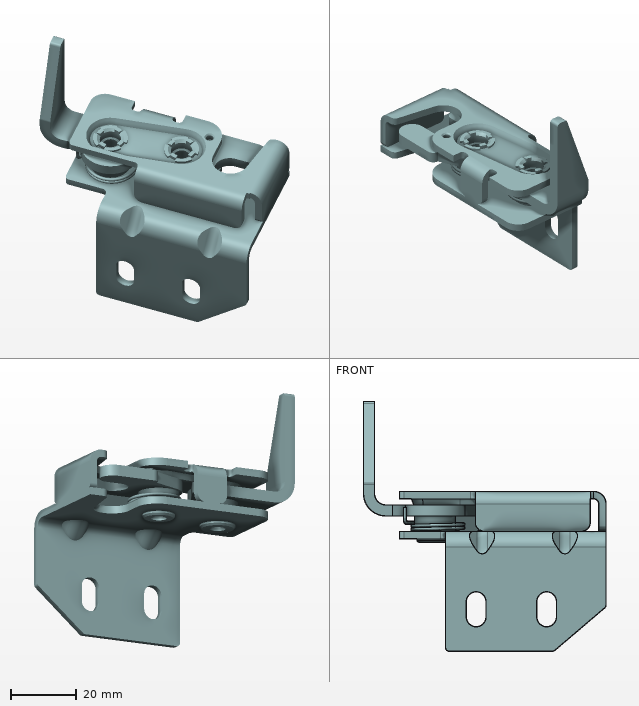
import cadquery as cq
import math


total_width = 74.65
total_depth = 37.2
total_height = 76.9

sheet = 2.3
base_top = 36.9
sheet_gap = 10.0
cover_top = base_top + sheet_gap + sheet
cover_bottom = cover_top - sheet

plate_left = 11.1
plate_back_radius = 4.85
plate_front_radius = 1.4
base_front = 9.85
cover_front = 12.9

flange_left = 25.2
flange_bend = 4.8
relief_radius = 1.5
flange_corner_radius = 1.15
flange_cut_width = 16.1
flange_cut_height = 13.7
slot_width = 6.0
slot_height = 10.7
slot_z = 12.9
slot_x = (34.7, 56.35)

gusset_x = (36.5, 62.0)
gusset_reach = 6.9
gusset_radius = 2.3
gusset_sheet = 2.1

cover_bend = 3.85
fold_bottom = base_top
fold_corner_radius = 2.7
side_corner_radius = 1.4
cover_flange_face = 8.6
cover_flange_left = 34.45
cover_flange_right = 69.8
side_fold_front = 13.3
tab_left = 27.2
tab_right = 37.4
tab_relief_width = 3.3
tab_relief_radius = 1.15

throat_x = 60.3
throat_y = 24.15
throat_radius = 5.7
throat_lean = 10.3
throat_left_corner = 6.6
throat_right_corner = 1.9

lever_pivot = (22.0, 21.0)
rotor_pivot = (44.1, 24.3)
pivots = (lever_pivot, rotor_pivot)

lever_thickness = 3.45
lever_top = cover_bottom - 1.85
lever_bottom = lever_top - lever_thickness
lever_width = 12.6
lever_bend = 6.9
lever_hub_radius = 9.2
lever_back = lever_pivot[1] + lever_hub_radius
lever_front = lever_back - lever_width
lever_relief_start = 9.0
lever_relief_depth = 1.2
lever_tip_width = 3.7
lever_taper_start = 51.6
lever_taper_radius = 1.5
lever_tip_radius = 1.0
lever_nose_front = 21.0
lever_nose_tip = (35.0, 29.2)
lever_nose_back_x = 32.3

dimple_radius = 7.45
dimple_front = 14.6
dimple_taper = 32.0
dimple_under_taper = 20.0
dimple_depth = cover_bottom - lever_top
dimple_floor = cover_top - dimple_depth
dimple_under_inset = 0.2

rotor_radius = 7.3
rotor_front = 15.1
rotor_slot_radius = 4.85
rotor_slot_x = 60.05
rotor_slot_y = 24.1
rotor_jaw_left = 50.4
rotor_jaw_corner = 2.15
rotor_lower_jaw_end = 64.6
upper_jaw_radius = (total_depth - rotor_slot_y - rotor_slot_radius) / 2
upper_jaw_x = 64.6

peg_x, peg_y = 50.8, 31.1
peg_hole = 2.3
peg_rim = 3.15

rivet_bore = 4.85
rivet_counterbore = 6.6
rivet_counterbore_depth = 2.45
rivet_shank = 9.15
rivet_shoulder = 12.7
rivet_feet = (11.15, 10.15)
rivet_foot_height = 1.15
rivet_foot_chamfer = 0.6
rivet_rim_height = 1.15
petal_diameter = 10.8
petal_inner = 8.45
petal_height = 0.7
petal_count = 4
petal_span = 60.0
petal_start = -2.0

wire = 1.0
spring_radius = 7.85
spring_turns = 2
spring_pitch = 1.1
spring_sink = 0.04
spring_shift_x = 0.9
spring_shift_y = -0.9
spring_leg_x = 12.8
spring_leg_y = 16.8
spring_leg_bend = 1.2
spring_leg_top = 44.3

through = 153.8


def round_edge(body, point, radius):
    """Fillet the edge whose middle is nearest to the point."""
    return body.edges(cq.selectors.NearestToPointSelector(point)).fillet(radius)


def block(x0, x1, y0, y1, z0, z1):
    """Box between two corners."""
    return cq.Workplane("XY").box(x1 - x0, y1 - y0, z1 - z0, centered=False).translate((x0, y0, z0))


def disc(center, diameter, z0, z1):
    """Upright cylinder."""
    return cq.Workplane("XY", origin=(*center, z0)).circle(diameter / 2).extrude(z1 - z0)


def folded_edge(origin, outward, length, bend, drop):
    """Sheet that leaves a bend line outward, then turns straight down."""
    across = cq.Vector(*outward)
    plane = cq.Plane(origin=origin, xDir=across, normal=across.cross(cq.Vector(0, 0, 1)))
    diagonal = math.sqrt(0.5)
    inner = bend - sheet
    return (
        cq.Workplane(plane)
        .lineTo(0, -sheet)
        .threePointArc((inner * diagonal, inner * diagonal - bend), (inner, -bend))
        .lineTo(inner, -drop)
        .lineTo(bend, -drop)
        .lineTo(bend, -bend)
        .threePointArc((bend * diagonal, bend * diagonal - bend), (0, 0))
        .close()
        .extrude(length)
    )


def cut_throat(plate, z_mid):
    """Open the striker throat from the back edge and round its two mouth corners."""
    lean = math.radians(throat_lean)
    left = throat_x - throat_radius
    tangent_x = throat_x + throat_radius * math.cos(lean)
    tangent_y = throat_y - throat_radius * math.sin(lean)
    mouth_x = tangent_x + (total_depth - tangent_y) * math.tan(lean)
    opening = (
        cq.Workplane("XY")
        .moveTo(left, total_depth)
        .lineTo(left, throat_y)
        .threePointArc((throat_x, throat_y - throat_radius), (tangent_x, tangent_y))
        .lineTo(mouth_x, total_depth)
        .close()
        .extrude(through)
    )
    plate = plate.cut(opening)
    plate = round_edge(plate, (left, total_depth, z_mid), throat_left_corner)
    return round_edge(plate, (mouth_x, total_depth, z_mid), throat_right_corner)


def gusset_section(x, offset):
    """V trough with a round floor, pushed inward from the groove floor by the offset."""
    radius = gusset_radius + offset
    plane = cq.Plane(origin=(x, 0, base_top - gusset_reach), xDir=(1, 0, 0), normal=(0, 1, 1))
    half = radius * math.sqrt(0.5)
    wall_top = half - radius + offset
    rise = 2 * gusset_reach
    return (
        cq.Workplane(plane)
        .moveTo(-half, wall_top)
        .threePointArc((0, offset), (half, wall_top))
        .lineTo(half + rise, wall_top - rise)
        .lineTo(-half - rise, wall_top - rise)
        .close()
        .extrude(2 * gusset_reach, both=True)
    )


def make_base():
    z_mid = base_top - sheet / 2
    base = block(plate_left, total_width, base_front, total_depth, base_top - sheet, base_top)
    base = cut_throat(base, z_mid)
    base = round_edge(base, (plate_left, total_depth, z_mid), plate_back_radius)
    base = round_edge(base, (plate_left, base_front, z_mid), plate_front_radius)
    base = base.union(
        block(flange_left, total_width, flange_bend, base_front, base_top - sheet, base_top)
    )
    base = round_edge(base, (flange_left, base_front, z_mid), relief_radius)

    flange = folded_edge(
        (total_width, flange_bend, base_top), (0, -1, 0), total_width - flange_left, flange_bend, base_top
    )
    cut_start = total_width - flange_cut_width
    corner_cut = (
        cq.Workplane("XZ")
        .polyline([(cut_start, 0), (total_width, 0), (total_width, flange_cut_height)])
        .close()
        .extrude(-sheet)
    )
    flange = flange.cut(corner_cut)
    for x, z in ((flange_left, 0), (cut_start, 0), (total_width, flange_cut_height)):
        flange = round_edge(flange, (x, sheet / 2, z), flange_corner_radius)
    slots = (
        cq.Workplane("XZ")
        .pushPoints([(x, slot_z) for x in slot_x])
        .slot2D(slot_height, slot_width, 90)
        .extrude(-sheet)
    )
    base = base.union(flange.cut(slots))

    inside_bend = block(0, total_width, sheet, total_depth, 0, base_top - sheet)
    for x in gusset_x:
        base = base.union(gusset_section(x, gusset_sheet).intersect(inside_bend))
        base = base.cut(gusset_section(x, 0))
    return base


def dimple_solid(radius, z_top, taper):
    """Tapered plug around both pivots, clipped by a flat at the front."""
    inset = dimple_radius - radius
    flat_y = dimple_front + inset
    ax, ay = lever_pivot
    bx, by = rotor_pivot
    slope = math.atan2(by - ay, bx - ax)
    nx, ny = -radius * math.sin(slope), radius * math.cos(slope)
    lower_x = bx - nx - (by - ny - flat_y) / math.tan(slope)
    flat_x = ax - math.sqrt(radius**2 - (ay - flat_y) ** 2)
    return (
        cq.Workplane("XY", origin=(0, 0, z_top))
        .moveTo(ax + nx, ay + ny)
        .lineTo(bx + nx, by + ny)
        .threePointArc((bx + radius * math.cos(slope), by + radius * math.sin(slope)), (bx - nx, by - ny))
        .lineTo(lower_x, flat_y)
        .lineTo(flat_x, flat_y)
        .threePointArc((ax - radius * math.cos(slope), ay - radius * math.sin(slope)), (ax + nx, ay + ny))
        .close()
        .extrude(-dimple_depth, taper=taper)
    )


def make_cover():
    z_mid = cover_top - sheet / 2
    drop = cover_top - fold_bottom
    side_bend_x = total_width - cover_bend
    front_bend_y = cover_flange_face + cover_bend
    tab_bend_y = total_depth - cover_bend
    corner_z = fold_bottom

    cover = block(plate_left, side_bend_x, cover_front, total_depth, cover_bottom, cover_top)
    cover = cut_throat(cover, z_mid)
    cover = round_edge(cover, (plate_left, total_depth, z_mid), plate_back_radius)
    cover = round_edge(cover, (plate_left, cover_front, z_mid), plate_front_radius)
    cover = cover.union(
        block(cover_flange_left, cover_flange_right, front_bend_y, cover_front, cover_bottom, cover_top)
    )

    cover = cover.cut(block(tab_left, tab_right, tab_bend_y, total_depth, cover_bottom, cover_top))
    for x in (tab_left - tab_relief_width, tab_right):
        relief = block(x, x + tab_relief_width, tab_bend_y, total_depth, cover_bottom, cover_top)
        cover = cover.cut(relief.edges("|Z and <Y").fillet(tab_relief_radius))

    tab = folded_edge(
        (tab_left, tab_bend_y, cover_top), (0, 1, 0), tab_right - tab_left, cover_bend, drop
    )
    for x in (tab_left, tab_right):
        tab = round_edge(tab, (x, total_depth - sheet / 2, corner_z), fold_corner_radius)

    front = folded_edge(
        (cover_flange_right, front_bend_y, cover_top),
        (0, -1, 0),
        cover_flange_right - cover_flange_left,
        cover_bend,
        drop,
    )
    for x in (cover_flange_left, cover_flange_right):
        front = round_edge(front, (x, cover_flange_face + sheet / 2, corner_z), fold_corner_radius)

    web_left = cover_flange_left - relief_radius
    web_front = cover_front - relief_radius
    web = folded_edge(
        (cover_flange_left, front_bend_y, cover_top), (0, -1, 0), relief_radius, cover_bend, drop
    )
    web = web.union(block(web_left, cover_flange_left, front_bend_y, cover_front, cover_bottom, cover_top))
    web = web.intersect(block(web_left, cover_flange_left, web_front, cover_front, 0, cover_top))
    web = web.cut(disc((web_left, web_front), 2 * relief_radius, 0, cover_top))

    side = folded_edge(
        (side_bend_x, total_depth, cover_top), (1, 0, 0), total_depth - side_fold_front, cover_bend, drop
    )
    for y in (side_fold_front, total_depth):
        side = round_edge(side, (total_width - sheet / 2, y, corner_z), side_corner_radius)

    cover = cover.union(tab).union(front).union(web).union(side)
    cover = cover.union(dimple_solid(dimple_radius - dimple_under_inset, cover_bottom, dimple_under_taper))
    cover = cover.cut(dimple_solid(dimple_radius, cover_top, dimple_taper))

    peg = disc((peg_x, peg_y), peg_hole, cover_bottom, cover_top)
    cover = cover.cut(peg)
    return cover.edges(cq.selectors.NearestToPointSelector((peg_x, peg_y, cover_top))).chamfer(
        (peg_rim - peg_hole) / 2
    )


def make_lever():
    px, py = lever_pivot
    inner = lever_bend - lever_thickness
    bend_z = lever_bottom + lever_bend
    diagonal = math.sqrt(0.5)
    strip = (
        cq.Workplane("XZ", origin=(0, lever_back, 0))
        .moveTo(px, lever_bottom)
        .lineTo(lever_bend, lever_bottom)
        .threePointArc((lever_bend * (1 - diagonal), bend_z - lever_bend * diagonal), (0, bend_z))
        .lineTo(0, total_height)
        .lineTo(lever_thickness, total_height)
        .lineTo(lever_thickness, bend_z)
        .threePointArc((lever_bend - inner * diagonal, bend_z - inner * diagonal), (lever_bend, lever_top))
        .lineTo(px, lever_top)
        .close()
        .extrude(lever_width)
    )
    tip_front = lever_back - lever_tip_width
    taper_cut = (
        cq.Workplane("YZ")
        .polyline([(lever_front, lever_taper_start), (lever_front, total_height), (tip_front, total_height)])
        .close()
        .extrude(lever_thickness)
    )
    relief_cut = (
        cq.Workplane("XY", origin=(0, 0, lever_bottom))
        .polyline([(lever_relief_start, lever_front), (px, lever_front), (px, py),
                   (px - lever_hub_radius, lever_front + lever_relief_depth)])
        .close()
        .extrude(lever_thickness)
    )
    strip = strip.cut(taper_cut).cut(relief_cut)
    for y in (lever_back, tip_front):
        strip = round_edge(strip, (lever_thickness / 2, y, total_height), lever_tip_radius)
    strip = round_edge(strip, (lever_thickness / 2, lever_front, lever_taper_start), lever_taper_radius)

    nose = (
        cq.Workplane("XY", origin=(0, 0, lever_bottom))
        .polyline([lever_pivot, (px + lever_hub_radius, lever_nose_front), lever_nose_tip,
                   (lever_nose_back_x, lever_back), (px, lever_back)])
        .close()
        .extrude(lever_thickness)
    )
    return strip.union(nose).union(disc(lever_pivot, 2 * lever_hub_radius, lever_bottom, lever_top))


def make_rotor():
    px, py = rotor_pivot
    slot_top = rotor_slot_y + rotor_slot_radius
    lower_jaw_width = rotor_slot_y - rotor_slot_radius - rotor_front
    jaw_z = (lever_bottom + lever_top) / 2

    jaw = block(rotor_jaw_left, upper_jaw_x, slot_top, total_depth, lever_bottom, lever_top)
    jaw = round_edge(jaw, (rotor_jaw_left, total_depth, jaw_z), rotor_jaw_corner)
    jaw = jaw.union(
        disc((upper_jaw_x, total_depth - upper_jaw_radius), 2 * upper_jaw_radius, lever_bottom, lever_top)
    )

    shoulder_y = total_depth - rotor_jaw_corner
    reach = math.hypot(rotor_jaw_left - px, shoulder_y - py)
    tangent = math.atan2(shoulder_y - py, rotor_jaw_left - px) + math.acos(rotor_radius / reach)
    palm = (
        cq.Workplane("XY", origin=(0, 0, lever_bottom))
        .polyline([
            (px + rotor_radius * math.cos(tangent), py + rotor_radius * math.sin(tangent)),
            (rotor_jaw_left, shoulder_y),
            (rotor_slot_x, shoulder_y),
            (rotor_slot_x, rotor_front),
            (px, rotor_front),
        ])
        .close()
        .extrude(lever_thickness)
    )
    lower_end = rotor_lower_jaw_end - lower_jaw_width / 2
    lower_jaw = block(px, lower_end, rotor_front, rotor_front + lower_jaw_width, lever_bottom, lever_top)
    lower_jaw = lower_jaw.union(
        disc((lower_end, rotor_front + lower_jaw_width / 2), lower_jaw_width, lever_bottom, lever_top)
    )
    slot = disc((rotor_slot_x, rotor_slot_y), 2 * rotor_slot_radius, lever_bottom, lever_top)
    body = disc(rotor_pivot, 2 * rotor_radius, lever_bottom, lever_top)
    return body.union(palm).cut(slot).union(jaw).union(lower_jaw)


def make_rivet(center, foot_diameter):
    """Stepped rivet with a flat foot and a rim staked outward into petals."""
    foot_bottom = base_top - sheet - rivet_foot_height
    petal_top = dimple_floor + petal_height
    rim_top = dimple_floor + rivet_rim_height
    scoop_taper = math.degrees(math.atan2((petal_inner - rivet_counterbore) / 2, petal_height))

    foot = disc(center, foot_diameter, foot_bottom, base_top).faces("<Z").chamfer(rivet_foot_chamfer)
    shoulder = disc(center, rivet_shoulder, base_top, lever_bottom)
    shank = disc(center, rivet_shank, lever_bottom, rim_top)
    rivet = foot.union(shoulder).union(shank)

    for index in range(petal_count):
        start = petal_start + index * 360 / petal_count
        sector = (
            cq.Workplane("XZ")
            .rect(petal_diameter / 2, through, centered=False)
            .revolve(petal_span, (0, 0, 0), (0, 1, 0))
            .rotate((0, 0, 0), (0, 0, 1), start)
            .translate((*center, 0))
        )
        above = disc(center, petal_diameter, petal_top, rim_top)
        scoop = (
            cq.Workplane("XY", origin=(*center, petal_top))
            .circle(petal_inner / 2)
            .extrude(-petal_height, taper=scoop_taper)
        )
        petal = disc(center, petal_diameter, dimple_floor, petal_top)
        rivet = rivet.union(petal.intersect(sector)).cut(above.union(scoop).intersect(sector))
    return rivet


def rivet_holes(center):
    """Through bore and upper counterbore of a rivet."""
    counterbore = disc(center, rivet_counterbore, dimple_floor - rivet_counterbore_depth, cover_top)
    return disc(center, rivet_bore, 0, cover_top).union(counterbore)


spring_start_z = base_top + wire / 2 - spring_sink
spring_end_z = spring_start_z + spring_turns * spring_pitch
coil_x = lever_pivot[0] + spring_shift_x
coil_y = lever_pivot[1] + spring_shift_y
leg_distance = math.hypot(spring_leg_x - coil_x, spring_leg_y - coil_y)
spring_end_angle = math.atan2(spring_leg_y - coil_y, spring_leg_x - coil_x) - math.acos(
    spring_radius / leg_distance
)


def make_spring(pivot):
    """Coil standing on the base, pushed against one side of the rivet shoulder."""
    helix = cq.Wire.makeHelix(spring_pitch, spring_turns * spring_pitch, spring_radius)
    coil = (
        cq.Workplane("XZ", origin=(spring_radius, 0, 0))
        .circle(wire / 2)
        .sweep(cq.Workplane(obj=helix), isFrenet=True)
    )
    start_angle = math.degrees(spring_end_angle) - 360 * spring_turns
    return coil.rotate((0, 0, 0), (0, 0, 1), start_angle).translate(
        (pivot[0] + spring_shift_x, pivot[1] + spring_shift_y, spring_start_z)
    )


def make_spring_leg():
    """Wire that leaves the coil on a tangent and turns up against the front edge of the lever."""
    z = spring_end_z
    start_x = coil_x + spring_radius * math.cos(spring_end_angle)
    start_y = coil_y + spring_radius * math.sin(spring_end_angle)
    reach = math.hypot(start_x - spring_leg_x, start_y - spring_leg_y)
    direction = cq.Vector(spring_leg_x - start_x, spring_leg_y - start_y, 0)
    plane = cq.Plane(
        origin=(start_x, start_y, z), xDir=direction, normal=direction.cross(cq.Vector(0, 0, 1))
    )
    bend_start = reach - spring_leg_bend
    diagonal = math.sqrt(0.5)
    path = (
        cq.Workplane(plane)
        .lineTo(bend_start, 0)
        .threePointArc(
            (bend_start + spring_leg_bend * diagonal, spring_leg_bend * (1 - diagonal)),
            (reach, spring_leg_bend),
        )
        .lineTo(reach, spring_leg_top - z)
    )
    section = cq.Plane(origin=(start_x, start_y, z), xDir=(0, 0, 1), normal=direction)
    return cq.Workplane(section).circle(wire / 2).sweep(path)


result = make_base().union(make_cover()).union(make_lever()).union(make_rotor())
for pivot, foot_diameter in zip(pivots, rivet_feet):
    result = result.union(make_rivet(pivot, foot_diameter)).union(make_spring(pivot))
result = result.union(make_spring_leg())
for pivot in pivots:
    result = result.cut(rivet_holes(pivot))